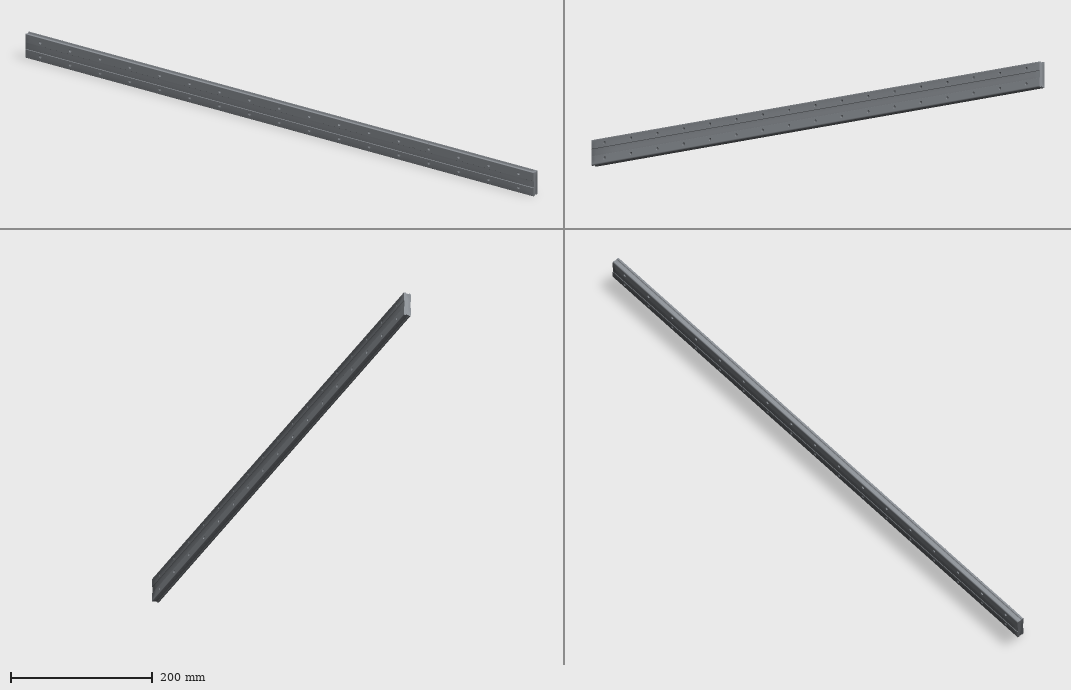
import cadquery as cq

length = 850.0
thickness = 11.0
height = 37.0

front_corner_radius = 0.5
back_corner_radius = 2.0

waist_thickness = 9.4
channel_mouth_width = 11.0
channel_floor_width = 10.0

groove_mouth_width = 5.5
groove_floor_width = 3.5
groove_depth = 1.0

hole_diameter = 4.5
hole_pitch = 50.0
holes_per_row = 17
row_spacing = 22.0


def make_bar():
    """Bar centred on the origin with its four long corners rounded."""
    bar = cq.Workplane("XY").box(length, thickness, height)
    bar = bar.faces("<Y").edges("|X").fillet(front_corner_radius)
    return bar.faces(">Y").edges("|X").fillet(back_corner_radius)


def make_channel(side):
    """Full-length channel with sloping walls in the back (side = 1) or front (side = -1) face."""
    face_y = side * thickness / 2
    floor_y = side * waist_thickness / 2
    outline = [
        (face_y, -channel_mouth_width / 2),
        (floor_y, -channel_floor_width / 2),
        (floor_y, channel_floor_width / 2),
        (face_y, channel_mouth_width / 2),
    ]
    return cq.Workplane("YZ").polyline(outline).close().extrude(length / 2, both=True)


def make_edge_groove(side):
    """Full-length groove with sloping walls in the top (side = 1) or bottom (side = -1) edge."""
    edge_z = side * height / 2
    floor_z = side * (height / 2 - groove_depth)
    outline = [
        (-groove_mouth_width / 2, edge_z),
        (-groove_floor_width / 2, floor_z),
        (groove_floor_width / 2, floor_z),
        (groove_mouth_width / 2, edge_z),
    ]
    return cq.Workplane("YZ").polyline(outline).close().extrude(length / 2, both=True)


def make_holes():
    """Both rows of holes, running through the full thickness."""
    return (
        cq.Workplane("XZ")
        .rarray(hole_pitch, row_spacing, holes_per_row, 2)
        .circle(hole_diameter / 2)
        .extrude(thickness, both=True)
    )


result = make_bar()
for side in (1, -1):
    result = result.cut(make_channel(side))
    result = result.cut(make_edge_groove(side))
result = result.cut(make_holes())